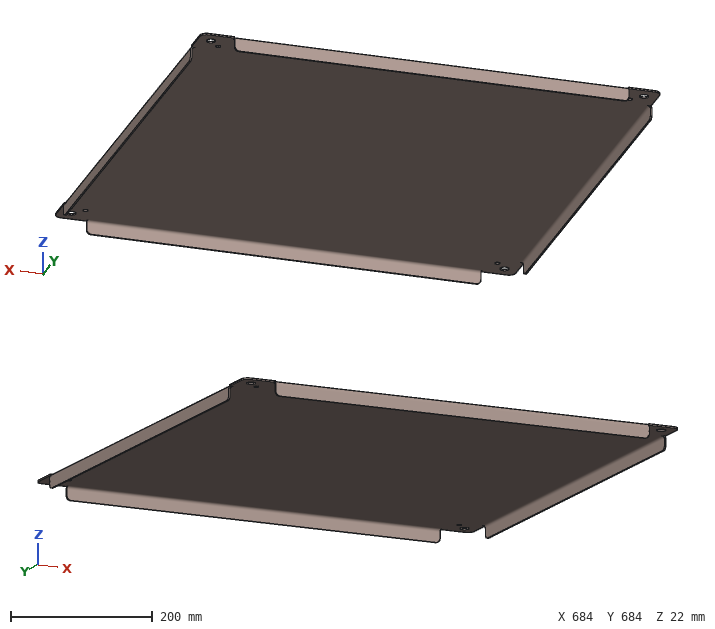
import cadquery as cq

side = 684.0
height = 22.0
thickness = 2.4
bend_radius = 7.0
flange_inset = 50.0
flange_corner_radius = 7.0
plate_corner_radius = 10.0
plate_edge_inset = 1.5
mount_hole_diameter = 13.0
mount_hole_inset = 21.0
small_hole_diameter = 7.0
small_hole_inset = 37.0

half_side = side / 2
plate_side = side - 2 * plate_edge_inset
flange_length = side - 2 * flange_inset
inner_bend_radius = bend_radius - thickness
bend_start = half_side - bend_radius


def make_plate():
    """Flat sheet with rounded corners, cut back along the sides where the bends begin."""
    plate = (
        cq.Workplane("XY")
        .rect(plate_side, plate_side)
        .extrude(-thickness)
        .edges("|Z")
        .fillet(plate_corner_radius)
    )
    for length_x, length_y in ((side, flange_length), (flange_length, side)):
        strip = cq.Workplane("XY").box(length_x, length_y, height)
        core = cq.Workplane("XY").rect(2 * bend_start, 2 * bend_start).extrude(2 * height, both=True)
        plate = plate.cut(strip.cut(core))
    return plate


def make_flange():
    """Bent-down lip along the +X side, with its two free lower corners rounded."""
    lip = (
        cq.Workplane("XZ")
        .moveTo(bend_start, 0)
        .radiusArc((half_side, -bend_radius), bend_radius)
        .lineTo(half_side, -height)
        .lineTo(half_side - thickness, -height)
        .lineTo(half_side - thickness, -bend_radius)
        .radiusArc((bend_start, -thickness), -inner_bend_radius)
        .close()
        .extrude(flange_length / 2, both=True)
    )
    return lip.faces("<Z").edges("|X").fillet(flange_corner_radius)


def corner_holes(diameter, inset):
    """Cutter for one through hole near each corner of the plate."""
    spacing = side - 2 * inset
    return (
        cq.Workplane("XY")
        .rect(spacing, spacing, forConstruction=True)
        .vertices()
        .circle(diameter / 2)
        .extrude(-thickness)
    )


result = make_plate()
flange = make_flange()
for turn in range(4):
    result = result.union(flange.rotate((0, 0, 0), (0, 0, 1), 90 * turn))
result = result.cut(corner_holes(mount_hole_diameter, mount_hole_inset))
result = result.cut(corner_holes(small_hole_diameter, small_hole_inset))